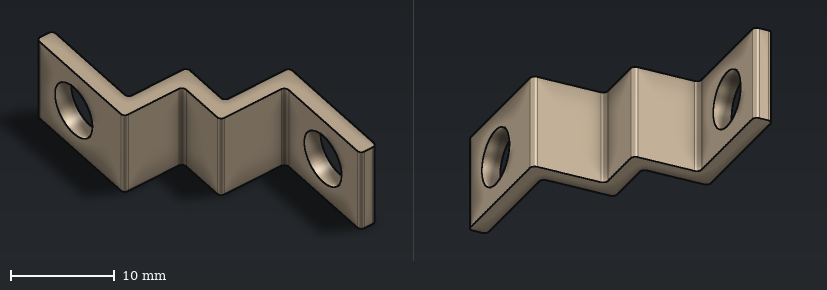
import cadquery as cq

length = 32.03
depth = 17.0
height = 10.0

thickness = 2.0
corner_radius = 0.5
lower_riser_x = 12.05
upper_riser_x = 18.03
middle_step_y = 7.15

hole_diameter = 6.0
hole_end_distance = 6.0


def make_strip():
    """Zigzag strip of constant thickness, extruded along Z with every corner rounded."""
    outline = [
        (0, 0),
        (lower_riser_x + thickness, 0),
        (lower_riser_x + thickness, middle_step_y),
        (upper_riser_x + thickness, middle_step_y),
        (upper_riser_x + thickness, depth - thickness),
        (length, depth - thickness),
        (length, depth),
        (upper_riser_x, depth),
        (upper_riser_x, middle_step_y + thickness),
        (lower_riser_x, middle_step_y + thickness),
        (lower_riser_x, thickness),
        (0, thickness),
    ]
    strip = cq.Workplane("XY").polyline(outline).close().extrude(height)
    return strip.edges("|Z").fillet(corner_radius)


def make_holes():
    """One cylinder along Y through each end flange, at mid height."""
    centers = [
        (hole_end_distance, height / 2),
        (length - hole_end_distance, height / 2),
    ]
    return cq.Workplane("XZ").pushPoints(centers).circle(hole_diameter / 2).extrude(-depth)


result = make_strip().cut(make_holes())